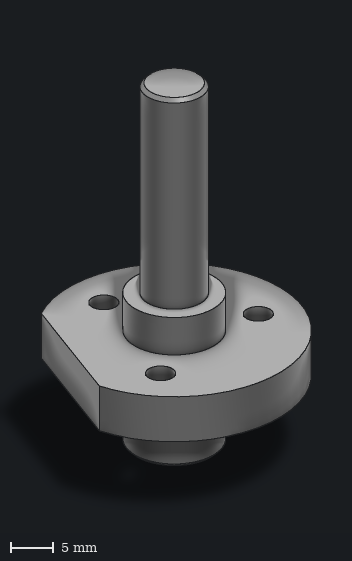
import cadquery as cq

total_height = 48.0
hub_below_flange = 9.0
flange_thickness = 6.0
hub_above_flange = 5.0

flange_diameter = 32.0
hub_diameter = 12.0
shaft_diameter = 8.0

flat_distance = 13.0
hole_diameter = 3.5
hole_circle_radius = 10.5
hole_count = 3
first_hole_angle = 90

end_chamfer = 0.5

hub_height = hub_below_flange + flange_thickness + hub_above_flange


def make_flange():
    """Round flange with one flat side and a ring of through holes."""
    radius = flange_diameter / 2
    disc = cq.Workplane("XY").circle(radius).extrude(flange_thickness)
    kept_depth = radius + flat_distance
    kept_side = (
        cq.Workplane("XY")
        .center(0, radius - kept_depth / 2)
        .rect(flange_diameter, kept_depth)
        .extrude(flange_thickness)
    )
    holes = (
        cq.Workplane("XY")
        .polarArray(hole_circle_radius, first_hole_angle, 360, hole_count)
        .circle(hole_diameter / 2)
        .extrude(flange_thickness)
    )
    flange = disc.intersect(kept_side).cut(holes)
    return flange.translate((0, 0, hub_below_flange))


def make_hub():
    """Cylinder through the flange, chamfered at its lower end."""
    hub = cq.Workplane("XY").circle(hub_diameter / 2).extrude(hub_height)
    return hub.faces("<Z").chamfer(end_chamfer)


def make_shaft():
    """Slim shaft standing on the hub, chamfered at its tip."""
    shaft = (
        cq.Workplane("XY", origin=(0, 0, hub_height))
        .circle(shaft_diameter / 2)
        .extrude(total_height - hub_height)
    )
    return shaft.faces(">Z").chamfer(end_chamfer)


result = make_hub().union(make_flange()).union(make_shaft())